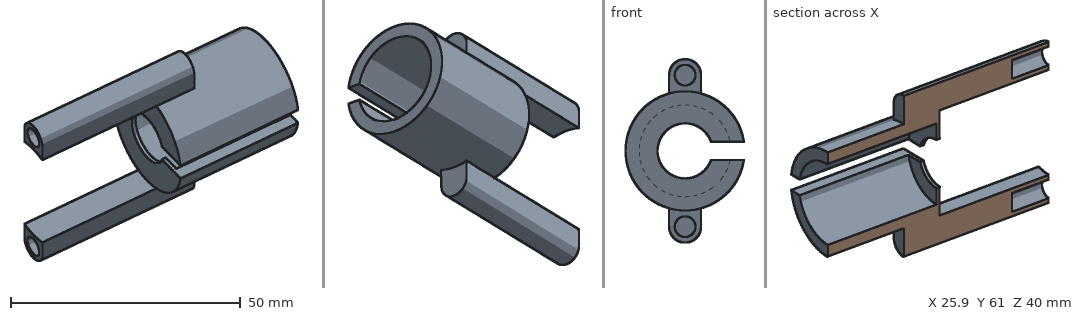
import cadquery as cq

total_length = 61.0
rear_y = total_length / 2
front_y = -total_length / 2

sleeve_length = 31.0
sleeve_radius = 13.0
bore_radius = 6.0
cavity_radius = 10.0
front_lip_thickness = 1.0
slot_width = 3.9

arm_length = 40.0
arm_width = 7.0
arm_tip_z = 20.0
arm_radius = arm_width / 2
arm_centre_z = arm_tip_z - arm_radius
arm_hole_diameter = 4.5
arm_hole_depth = arm_length - (total_length - sleeve_length)


def cylinder_along_y(radius, start_y, length, z=0):
    """Cylinder from start_y toward +Y."""
    return cq.Workplane("XZ", origin=(0, start_y, z)).circle(radius).extrude(-length)


def slotted_sleeve():
    """Hollow sleeve, open at the rear, with a thin front lip and a slot toward +X."""
    start_y = rear_y - sleeve_length
    sleeve = cylinder_along_y(sleeve_radius, start_y, sleeve_length)
    bore = cylinder_along_y(bore_radius, start_y, sleeve_length)
    cavity_length = sleeve_length - front_lip_thickness
    cavity = cylinder_along_y(cavity_radius, start_y + front_lip_thickness, cavity_length)
    slot = cq.Workplane("XY").box(
        sleeve_radius, sleeve_length, slot_width, centered=(False, False, True)
    ).translate((0, start_y, 0))
    return sleeve.cut(bore).cut(cavity).cut(slot)


def arm(side):
    """Round-tipped arm with a concave inner face; side is +1 for top, -1 for bottom."""
    centre_z = side * arm_centre_z
    body = cq.Workplane("XY").box(
        arm_width, arm_length, arm_centre_z, centered=(True, False, True)
    ).translate((0, front_y, centre_z / 2))
    tip = cylinder_along_y(arm_radius, front_y, arm_length, centre_z)
    sleeve_envelope = cylinder_along_y(sleeve_radius, front_y, arm_length)
    hole = cylinder_along_y(arm_hole_diameter / 2, front_y, arm_hole_depth, centre_z)
    return body.union(tip).cut(sleeve_envelope).cut(hole)


result = slotted_sleeve()
for side in (1, -1):
    result = result.union(arm(side))